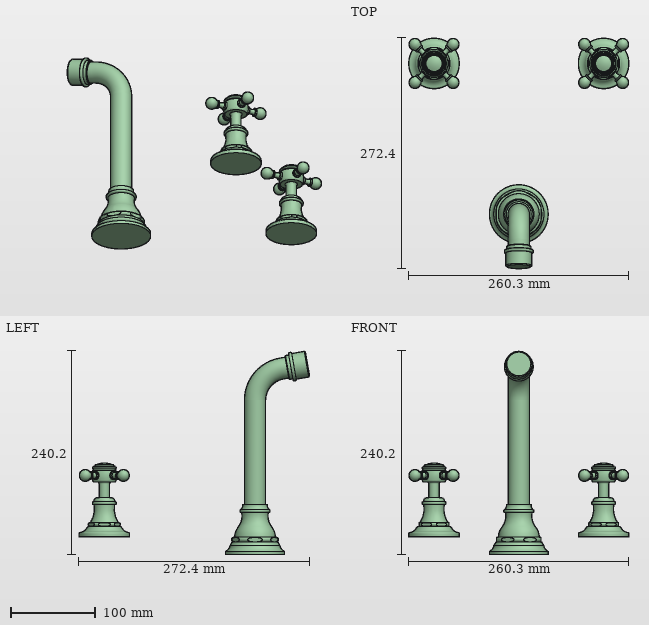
import cadquery as cq
import math

valve_spacing = 200.3
valve_offset_y = 178.0
valve_base_z = 21.0

hex_sides = 6

spout_foot_radius = 35.0
spout_foot_height = 3.5
spout_foot_bevel = 1.0
spout_cove_depth = 0.8
spout_cove_top_radius = 29.7
spout_cove_top_z = 10.5
spout_bead_seat_radius = 27.2
spout_bead_bottom_z = 14.7
spout_bead_radius = 3.0
spout_bead_outer_radius = 27.8
spout_flat_distance = 26.5
spout_bell_radius = 24.3
spout_bell_curve_radius = 18.8
spout_bell_shoulder_radius = 20.2
spout_neck_radius = 15.8
spout_neck_top_z = 49.5
spout_ring_radius = 18.0
spout_ring_height = 3.8
spout_collar_cove_radius = 16.5
spout_collar_cove_depth = 0.5
spout_collar_radius = 14.7
spout_collar_top_z = 59.5
spout_collar_lip = 1.0

pipe_diameter = 25.3
pipe_straight_top_z = 182.3
bend_radius = 38.1
bend_angle = 80.0
pipe_end_length = 6.3
sleeve_radius = 14.5
sleeve_length = 4.5
sleeve_chamfer = 0.8
outlet_ring_radius = 17.2
outlet_ring_length = 3.8
outlet_ring_rounding = 1.4
outlet_radius = 15.5
outlet_length = 16.3
outlet_chamfer = 1.4

valve_foot_radius = 30.0
valve_foot_height = 5.5
valve_foot_rounding = 2.0
valve_cove_depth = 1.0
valve_cove_top_radius = 21.0
valve_cove_top_z = 10.5
valve_bead_seat_radius = 19.0
valve_bead_bottom_z = 12.5
valve_bead_radius = 2.2
valve_bead_outer_radius = 19.0
valve_flat_distance = 17.7
valve_bell_bottom_radius = 16.5
valve_bell_waist_radius = 12.0
valve_bell_waist_z = 30.0
valve_bell_top_radius = 12.3
valve_ring_bottom_z = 38.1
valve_ring_height = 3.5
valve_ring_radius = 14.2
valve_ring_rounding = 1.4
valve_dome_radius = 12.5
valve_dome_flat_radius = 9.0
valve_dome_top_z = 46.3
stem_radius = 6.3
stem_flare_radius = 7.4
stem_flare_z = 62.0

hub_bottom_z = 64.9
hub_bottom_radius = 13.0
hub_edge_radius = 14.0
hub_edge_bottom_z = 66.5
hub_waist_radius = 14.7
hub_edge_top_z = 78.7
hub_groove_radius = 12.5
hub_lower_bead_bottom_z = 80.5
hub_lower_bead_radius = 14.2
hub_lower_bead_top_radius = 12.0
hub_lower_bead_top_z = 82.3
hub_upper_bead_radius = 12.5
hub_upper_bead_top_radius = 11.2
hub_upper_bead_top_z = 84.0
hub_rim_radius = 10.0
hub_rim_z = 85.8
hub_rim_bulge = 0.3
cap_radius = 9.5
cap_base_z = 85.3
cap_top_z = 87.5

arm_count = 4
arm_z = (hub_edge_bottom_z + hub_edge_top_z) / 2
arm_collar_radius = 5.0
arm_collar_end = 15.8
arm_collar_chamfer = 1.0
arm_waist_radius = 3.0
arm_waist_distance = 20.2
arm_end_radius = 3.5
arm_ring_start = 23.7
arm_ring_end = 25.5
arm_ring_radius = 5.0
arm_neck_radius = 4.4
ball_radius = 7.0
ball_distance = 32.0
ball_seat_distance = 27.8


def revolved(profile):
    """Close an outline drawn in the XZ plane and revolve it about the Z axis."""
    return profile.close().revolve(360, (0, 0, 0), (0, 1, 0))


def hex_bead(outer_radius, bead_radius, bottom_z, flat_distance):
    """Half-round bead around the Z axis, cut by six flats that face ±X and every 60 degrees."""
    root_radius = outer_radius - bead_radius
    top_z = bottom_z + 2 * bead_radius
    bead = revolved(
        cq.Workplane("XZ")
        .moveTo(0, bottom_z)
        .lineTo(root_radius, bottom_z)
        .threePointArc((outer_radius, bottom_z + bead_radius), (root_radius, top_z))
        .lineTo(0, top_z)
    )
    corner_diameter = 2 * flat_distance / math.cos(math.pi / hex_sides)
    prism = (
        cq.Workplane("XY", origin=(0, 0, bottom_z))
        .transformed(rotate=(0, 0, 180 / hex_sides))
        .polygon(hex_sides, corner_diameter)
        .extrude(2 * bead_radius)
    )
    return bead.intersect(prism)


def spout_base():
    """Turned foot, bell and neck ring that carry the pipe."""
    bead_top_z = spout_bead_bottom_z + 2 * spout_bead_radius
    shoulder_inset = spout_bell_curve_radius - (spout_bell_radius - spout_bell_shoulder_radius)
    shoulder_z = bead_top_z + math.sqrt(spout_bell_curve_radius**2 - shoulder_inset**2)
    cove_bottom_radius = spout_foot_radius - spout_foot_bevel
    cove_bottom_z = spout_foot_height + spout_foot_bevel
    ring_top_z = spout_neck_top_z + spout_ring_height
    lip_z = spout_collar_top_z - spout_collar_lip
    turned = revolved(
        cq.Workplane("XZ")
        .lineTo(spout_foot_radius, 0)
        .lineTo(spout_foot_radius, spout_foot_height)
        .lineTo(cove_bottom_radius, cove_bottom_z)
        .sagittaArc((spout_cove_top_radius, spout_cove_top_z), spout_cove_depth)
        .lineTo(spout_bead_seat_radius, spout_bead_bottom_z)
        .lineTo(spout_bell_radius, spout_bead_bottom_z)
        .lineTo(spout_bell_radius, bead_top_z)
        .tangentArcPoint((spout_bell_shoulder_radius, shoulder_z), relative=False)
        .tangentArcPoint((spout_neck_radius, spout_neck_top_z), relative=False)
        .threePointArc(
            (spout_ring_radius, spout_neck_top_z + spout_ring_height / 2),
            (spout_collar_cove_radius, ring_top_z),
        )
        .sagittaArc((spout_collar_radius, lip_z), spout_collar_cove_depth)
        .lineTo(spout_collar_radius, spout_collar_top_z)
        .lineTo(0, spout_collar_top_z)
    )
    bead = hex_bead(spout_bead_outer_radius, spout_bead_radius, spout_bead_bottom_z, spout_flat_distance)
    return turned.union(bead)


def spout_outlet():
    """Sleeve, ring and nozzle at the end of the pipe, turned about +Z from the end of the bend."""
    sleeve = (
        cq.Workplane("XY", origin=(0, 0, pipe_end_length))
        .circle(sleeve_radius)
        .extrude(sleeve_length)
        .faces("<Z").edges().chamfer(sleeve_chamfer)
    )
    ring_start = pipe_end_length + sleeve_length
    ring = (
        cq.Workplane("XY", origin=(0, 0, ring_start))
        .circle(outlet_ring_radius)
        .extrude(outlet_ring_length)
        .edges().fillet(outlet_ring_rounding)
    )
    nozzle = (
        cq.Workplane("XY", origin=(0, 0, ring_start))
        .circle(outlet_radius)
        .extrude(outlet_ring_length + outlet_length)
        .faces(">Z").edges().chamfer(outlet_chamfer)
    )
    end_pipe = cq.Workplane("XY").circle(pipe_diameter / 2).extrude(pipe_end_length)
    return end_pipe.union(sleeve).union(ring).union(nozzle)


def make_spout():
    """The spout: turned base, straight pipe, bend and outlet in one body."""
    column = cq.Workplane("XY").circle(pipe_diameter / 2).extrude(pipe_straight_top_z)
    bend = (
        cq.Workplane("XY", origin=(0, 0, pipe_straight_top_z))
        .circle(pipe_diameter / 2)
        .revolve(bend_angle, (0, -bend_radius, 0), (1, -bend_radius, 0))
    )
    bend_axis_start = (0, -bend_radius, pipe_straight_top_z)
    bend_axis_end = (1, -bend_radius, pipe_straight_top_z)
    outlet = (
        spout_outlet()
        .translate((0, 0, pipe_straight_top_z))
        .rotate(bend_axis_start, bend_axis_end, bend_angle)
    )
    return spout_base().union(column).union(bend).union(outlet)


def valve_base():
    """Turned foot, bell, ring, dome and stem below the handle."""
    bead_top_z = valve_bead_bottom_z + 2 * valve_bead_radius
    ring_top_z = valve_ring_bottom_z + valve_ring_height
    foot_edge_z = valve_foot_height - valve_foot_rounding
    turned = revolved(
        cq.Workplane("XZ")
        .lineTo(valve_foot_radius, 0)
        .lineTo(valve_foot_radius, foot_edge_z)
        .radiusArc((valve_foot_radius - valve_foot_rounding, valve_foot_height), -valve_foot_rounding)
        .sagittaArc((valve_cove_top_radius, valve_cove_top_z), valve_cove_depth)
        .lineTo(valve_bead_seat_radius, valve_bead_bottom_z)
        .lineTo(valve_bell_bottom_radius, valve_bead_bottom_z)
        .lineTo(valve_bell_bottom_radius, bead_top_z)
        .threePointArc(
            (valve_bell_waist_radius, valve_bell_waist_z),
            (valve_bell_top_radius, valve_ring_bottom_z),
        )
        .lineTo(valve_dome_radius, ring_top_z)
        .tangentArcPoint((valve_dome_flat_radius, valve_dome_top_z), relative=False)
        .lineTo(stem_radius, valve_dome_top_z)
        .lineTo(stem_radius, stem_flare_z)
        .tangentArcPoint((stem_flare_radius, hub_bottom_z), relative=False)
        .lineTo(0, hub_bottom_z)
    )
    ring = (
        cq.Workplane("XY", origin=(0, 0, valve_ring_bottom_z))
        .circle(valve_ring_radius)
        .extrude(valve_ring_height)
        .edges().fillet(valve_ring_rounding)
    )
    bead = hex_bead(valve_bead_outer_radius, valve_bead_radius, valve_bead_bottom_z, valve_flat_distance)
    return turned.union(ring).union(bead)


def valve_hub():
    """Barrel-shaped hub with two beads, a rim and a domed cap."""
    lower_bead_middle_z = (hub_lower_bead_bottom_z + hub_lower_bead_top_z) / 2
    upper_bead_middle_z = (hub_lower_bead_top_z + hub_upper_bead_top_z) / 2
    cap_height = cap_top_z - cap_base_z
    cap_sphere_radius = (cap_radius**2 + cap_height**2) / (2 * cap_height)
    return revolved(
        cq.Workplane("XZ")
        .moveTo(0, hub_bottom_z)
        .lineTo(hub_bottom_radius, hub_bottom_z)
        .lineTo(hub_edge_radius, hub_edge_bottom_z)
        .threePointArc((hub_waist_radius, arm_z), (hub_edge_radius, hub_edge_top_z))
        .lineTo(hub_groove_radius, hub_lower_bead_bottom_z)
        .threePointArc(
            (hub_lower_bead_radius, lower_bead_middle_z),
            (hub_lower_bead_top_radius, hub_lower_bead_top_z),
        )
        .threePointArc(
            (hub_upper_bead_radius, upper_bead_middle_z),
            (hub_upper_bead_top_radius, hub_upper_bead_top_z),
        )
        .sagittaArc((hub_rim_radius, hub_rim_z), -hub_rim_bulge)
        .lineTo(cap_radius, hub_rim_z)
        .lineTo(cap_radius, cap_base_z)
        .radiusArc((0, cap_top_z), -cap_sphere_radius)
    )


def valve_arm():
    """One handle arm turned about +Z: hub collar, waisted shank, ring, neck and ball."""
    ball_seat_radius = math.sqrt(ball_radius**2 - (ball_distance - ball_seat_distance) ** 2)
    return revolved(
        cq.Workplane("XZ")
        .lineTo(arm_collar_radius, 0)
        .lineTo(arm_collar_radius, arm_collar_end)
        .lineTo(arm_collar_radius - arm_collar_chamfer, arm_collar_end + arm_collar_chamfer)
        .threePointArc((arm_waist_radius, arm_waist_distance), (arm_end_radius, arm_ring_start))
        .lineTo(arm_ring_radius, arm_ring_start)
        .lineTo(arm_ring_radius, arm_ring_end)
        .lineTo(arm_neck_radius, arm_ring_end)
        .lineTo(ball_seat_radius, ball_seat_distance)
        .threePointArc((ball_radius, ball_distance), (0, ball_distance + ball_radius))
    )


def make_valve(side):
    """One valve with its cross handle; side is -1 or +1 along X."""
    valve = valve_base().union(valve_hub())
    first_angle = 180 / arm_count
    for index in range(arm_count):
        angle = first_angle + index * 360 / arm_count
        arm = (
            valve_arm()
            .rotate((0, 0, 0), (0, 1, 0), 90)
            .rotate((0, 0, 0), (0, 0, 1), angle)
            .translate((0, 0, arm_z))
        )
        valve = valve.union(arm)
    return valve.translate((side * valve_spacing / 2, valve_offset_y, valve_base_z))


spout = make_spout()
valves = [make_valve(side) for side in (-1, 1)]

result = cq.Compound.makeCompound([spout.val(), *[valve.val() for valve in valves]])